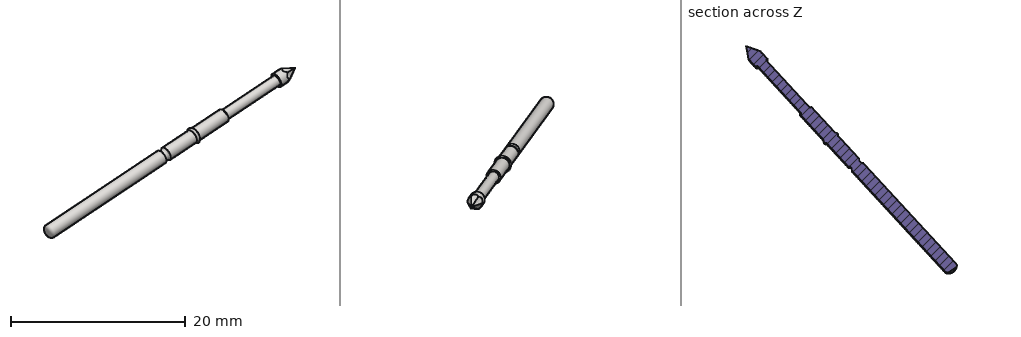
import cadquery as cq
import math

length = 38.4

barrel_radius = 0.85
barrel_length = 27.35
tail_round = 0.42

collar_radius = 1.0
collar_width = 0.45
collar_center = 22.65

groove_depth = 0.173
groove_width = 0.7
groove_center = 18.05

plunger_radius = 0.65
head_radius = 0.9
head_length = 2.9

ridge_count = 6
ridge_length = 1.57
valley_length = 1.92


def cylinder(radius, start, end):
    """Round bar on the Y axis between two places along it."""
    return cq.Workplane("XZ", origin=(0, start, 0)).circle(radius).extrude(start - end)


def arc_ring(center, width, peak_radius):
    """Turned body of the barrel radius at both ends, with an arc through peak_radius midway."""
    half = width / 2
    profile = (
        cq.Workplane("XY")
        .moveTo(0, center - half)
        .lineTo(barrel_radius, center - half)
        .threePointArc((peak_radius, center), (barrel_radius, center + half))
        .lineTo(0, center + half)
        .close()
    )
    return profile.revolve(360, (0, 0, 0), (0, 1, 0))


def make_barrel():
    """Barrel with a rounded tail edge, a bulging collar and a hollow groove."""
    barrel = cylinder(barrel_radius, 0, barrel_length).faces("<Y").edges().fillet(tail_round)
    collar = arc_ring(collar_center, collar_width, collar_radius)
    groove_start = groove_center - groove_width / 2
    groove_end = groove_center + groove_width / 2
    neck = arc_ring(groove_center, groove_width, barrel_radius - groove_depth)
    groove = cylinder(barrel_radius, groove_start, groove_end).cut(neck)
    return barrel.union(collar).cut(groove)


def make_point(base):
    """Star-shaped pyramid from the tip down to Y = base, where it is wider than the head."""
    ridge_radius = head_radius * (length - base) / ridge_length
    valley_radius = head_radius * (length - base) / valley_length
    corner_count = 2 * ridge_count
    corners = []
    for i in range(corner_count):
        radius = valley_radius if i % 2 else ridge_radius
        angle = 2 * math.pi * i / corner_count
        corners.append(cq.Vector(radius * math.cos(angle), base, radius * math.sin(angle)))
    tip = cq.Vector(0, length, 0)
    faces = [cq.Face.makeFromWires(cq.Wire.makePolygon(corners, close=True))]
    for i in range(corner_count):
        outline = [corners[i - 1], corners[i], tip]
        faces.append(cq.Face.makeFromWires(cq.Wire.makePolygon(outline, close=True)))
    return cq.Workplane(obj=cq.Solid.makeSolid(cq.Shell.makeShell(faces)))


def make_head():
    """Round head trimmed to the ridged point."""
    head_start = length - head_length
    return cylinder(head_radius, head_start, length).intersect(make_point(head_start))


plunger = cylinder(plunger_radius, barrel_length, length - head_length)

result = make_barrel().union(plunger).union(make_head())